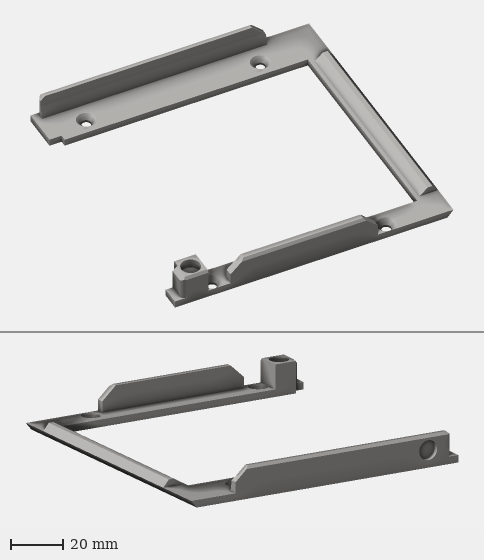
import cadquery as cq

WIDTH = 123.0
LENGTH = 120.0
HEIGHT = 13.0

PLATE_THICKNESS = 3.0
LEFT_RAIL_WIDTH = 18.75
RIGHT_RAIL_WIDTH = 11.0
BACK_RAIL_WIDTH = 10.0
LEFT_NOTCH_WIDTH = 2.65
RIGHT_NOTCH_WIDTH = 3.1
NOTCH_LENGTH = 5.25
BACK_BEVEL = 2.5

RIDGE_LEFT = 20.75
RIDGE_RIGHT = 110.0
RIDGE_HEIGHT = 3.0
RIDGE_TOP_WIDTH = 2.0
RIDGE_BASE_WIDTH = 8.0

FRONT_Y = 3.0
OUTER_CHAMFER = 1.0
FRONT_CHAMFER = 1.75
CORNER_RADIUS = 2.1
RAMP_LENGTH = 6.0
RAMP_HEIGHT = 5.5
LEFT_WALL_THICKNESS = 2.75
LEFT_WALL_BACK_Y = 100.0
LEFT_WALL_FLARE = 1.1
FLARE_HEIGHT = 5.5
RIGHT_WALL_THICKNESS = 3.25
RIGHT_WALL_FRONT_Y = 23.9
RIGHT_WALL_BACK_Y = 87.5
BLOCK_BACK_Y = 14.5

POCKET_DIAMETER = 8.0
WALL_POCKET_Y = 13.5
WALL_POCKET_Z = 7.0
WALL_POCKET_DEPTH = 2.0
BLOCK_POCKET_X = 117.5
BLOCK_POCKET_Y = 9.5
BLOCK_POCKET_DEPTH = 4.0

SCREW_DIAMETER = 4.0
COUNTERSINK_DIAMETER = 8.0
COUNTERSINK_DEPTH = 2.0
SCREW_X = (11.9, 119.0)
SCREW_Y = (18.0, 93.0)


def extrude_along_x(points, x_start, x_end):
    """Prism with a (y, z) outline, running from x_start to x_end."""
    profile = cq.Workplane("YZ", origin=(x_start, 0, 0)).polyline(points).close()
    return profile.extrude(x_end - x_start)


def extrude_along_y(points, y_start, y_end):
    """Prism with an (x, z) outline, running from y_start to y_end."""
    profile = cq.Workplane("XZ", origin=(0, y_start, 0)).polyline(points).close()
    return profile.extrude(y_start - y_end)


def make_frame():
    """U-shaped plate with notched rail tips and an undercut back edge."""
    left_inner = LEFT_RAIL_WIDTH
    right_inner = WIDTH - RIGHT_RAIL_WIDTH
    back_inner = LENGTH - BACK_RAIL_WIDTH
    outline = [
        (0, 0),
        (left_inner - LEFT_NOTCH_WIDTH, 0),
        (left_inner - LEFT_NOTCH_WIDTH, NOTCH_LENGTH),
        (left_inner, NOTCH_LENGTH),
        (left_inner, back_inner),
        (right_inner, back_inner),
        (right_inner, NOTCH_LENGTH),
        (right_inner + RIGHT_NOTCH_WIDTH, NOTCH_LENGTH),
        (right_inner + RIGHT_NOTCH_WIDTH, 0),
        (WIDTH, 0),
        (WIDTH, LENGTH),
        (0, LENGTH),
    ]
    plate = cq.Workplane("XY").polyline(outline).close().extrude(PLATE_THICKNESS)
    undercut = [(LENGTH - BACK_BEVEL, 0), (LENGTH, 0), (LENGTH, PLATE_THICKNESS)]
    return plate.cut(extrude_along_x(undercut, 0, WIDTH))


def cut_screw_holes(frame):
    """Four through holes, countersunk from the top of the plate."""
    centres = [(x, y) for x in SCREW_X for y in SCREW_Y]
    holes = cq.Workplane("XY").pushPoints(centres).circle(SCREW_DIAMETER / 2).extrude(PLATE_THICKNESS)
    frame = frame.cut(holes)
    for x, y in centres:
        cone = cq.Solid.makeCone(
            SCREW_DIAMETER / 2,
            COUNTERSINK_DIAMETER / 2,
            COUNTERSINK_DEPTH,
            pnt=cq.Vector(x, y, PLATE_THICKNESS - COUNTERSINK_DEPTH),
        )
        frame = frame.cut(cq.Workplane(cone))
    return frame


def make_ridge():
    """Ridge along the back rail, rising from the back edge of the plate."""
    top_z = PLATE_THICKNESS + RIDGE_HEIGHT
    profile = [
        (LENGTH, PLATE_THICKNESS),
        (LENGTH - BACK_BEVEL, top_z),
        (LENGTH - BACK_BEVEL - RIDGE_TOP_WIDTH, top_z),
        (LENGTH - RIDGE_BASE_WIDTH, PLATE_THICKNESS),
    ]
    return extrude_along_x(profile, RIDGE_LEFT, RIDGE_RIGHT)


def front_chamfer_cutter():
    """Wedge that bevels the top front edge of the left wall and the block."""
    profile = [
        (FRONT_Y, HEIGHT - FRONT_CHAMFER),
        (FRONT_Y + FRONT_CHAMFER, HEIGHT),
        (FRONT_Y, HEIGHT),
    ]
    return extrude_along_x(profile, 0, WIDTH)


def outer_chamfer_cutter(outer_x, inward):
    """Wedge that bevels the top outer edge; inward is +1 or -1 along X."""
    profile = [
        (outer_x, HEIGHT - OUTER_CHAMFER),
        (outer_x + inward * OUTER_CHAMFER, HEIGHT),
        (outer_x, HEIGHT),
    ]
    return extrude_along_y(profile, 0, LENGTH)


def make_left_wall():
    """Left wall with a flared foot, a rear ramp and a round outer pocket."""
    section = [
        (0, PLATE_THICKNESS),
        (LEFT_WALL_THICKNESS + LEFT_WALL_FLARE, PLATE_THICKNESS),
        (LEFT_WALL_THICKNESS, PLATE_THICKNESS + FLARE_HEIGHT),
        (LEFT_WALL_THICKNESS, HEIGHT),
        (0, HEIGHT),
    ]
    wall = extrude_along_y(section, FRONT_Y, LEFT_WALL_BACK_Y)
    wall = wall.edges("|Z and <X and <Y").fillet(CORNER_RADIUS)
    ramp = [
        (LEFT_WALL_BACK_Y, HEIGHT - RAMP_HEIGHT),
        (LEFT_WALL_BACK_Y, HEIGHT),
        (LEFT_WALL_BACK_Y - RAMP_LENGTH, HEIGHT),
    ]
    wall = wall.cut(extrude_along_x(ramp, 0, LEFT_RAIL_WIDTH))
    wall = wall.cut(front_chamfer_cutter()).cut(outer_chamfer_cutter(0, 1))
    pocket = (
        cq.Workplane("YZ")
        .center(WALL_POCKET_Y, WALL_POCKET_Z)
        .circle(POCKET_DIAMETER / 2)
        .extrude(WALL_POCKET_DEPTH)
    )
    return wall.cut(pocket)


def make_right_wall():
    """Right wall with a ramp at each end."""
    profile = [
        (RIGHT_WALL_FRONT_Y, PLATE_THICKNESS),
        (RIGHT_WALL_BACK_Y, PLATE_THICKNESS),
        (RIGHT_WALL_BACK_Y, HEIGHT - RAMP_HEIGHT),
        (RIGHT_WALL_BACK_Y - RAMP_LENGTH, HEIGHT),
        (RIGHT_WALL_FRONT_Y + RAMP_LENGTH, HEIGHT),
        (RIGHT_WALL_FRONT_Y, HEIGHT - RAMP_HEIGHT),
    ]
    wall = extrude_along_x(profile, WIDTH - RIGHT_WALL_THICKNESS, WIDTH)
    return wall.cut(outer_chamfer_cutter(WIDTH, -1))


def make_block():
    """Corner block at the tip of the right rail, with a round top pocket."""
    inner_x = WIDTH - RIGHT_RAIL_WIDTH
    outline = [
        (inner_x, NOTCH_LENGTH),
        (inner_x + RIGHT_NOTCH_WIDTH, NOTCH_LENGTH),
        (inner_x + RIGHT_NOTCH_WIDTH, FRONT_Y),
        (WIDTH, FRONT_Y),
        (WIDTH, BLOCK_BACK_Y),
        (inner_x, BLOCK_BACK_Y),
    ]
    block = (
        cq.Workplane("XY", origin=(0, 0, PLATE_THICKNESS))
        .polyline(outline)
        .close()
        .extrude(HEIGHT - PLATE_THICKNESS)
    )
    block = block.edges("|Z and >X and <Y").fillet(CORNER_RADIUS)
    block = block.cut(front_chamfer_cutter()).cut(outer_chamfer_cutter(WIDTH, -1))
    pocket = (
        cq.Workplane("XY", origin=(BLOCK_POCKET_X, BLOCK_POCKET_Y, HEIGHT))
        .circle(POCKET_DIAMETER / 2)
        .extrude(-BLOCK_POCKET_DEPTH)
    )
    return block.cut(pocket)


result = (
    cut_screw_holes(make_frame())
    .union(make_ridge())
    .union(make_left_wall())
    .union(make_right_wall())
    .union(make_block())
)